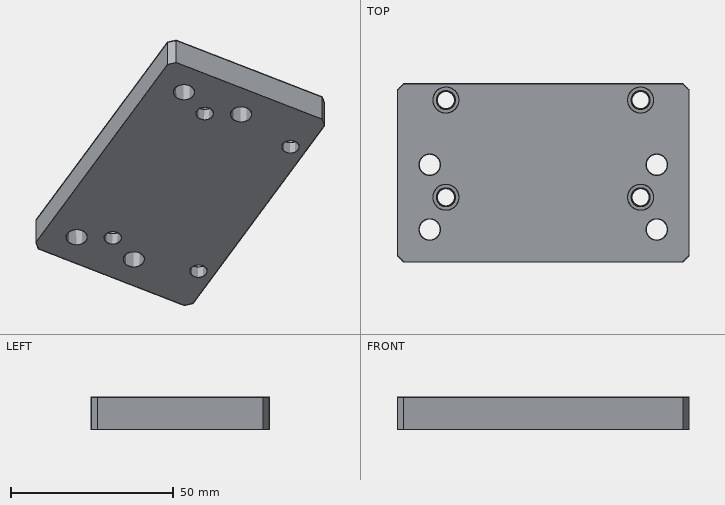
import cadquery as cq

length = 90.0
width = 55.0
thickness = 10.0
corner_chamfer = 2.0

screw_diameter = 5.3
counterbore_diameter = 8.0
counterbore_depth = 5.0
screw_edge_chamfer = 0.3
screw_spacing_x = 60.0
screw_spacing_y = 30.0
screw_center_y = 7.5

plain_diameter = 6.5
plain_spacing_x = 70.0
plain_spacing_y = 20.0
plain_center_y = -7.5


def on_top_face(plate, spacing_x, spacing_y, center_y):
    """Select the four hole centres of a rectangular pattern on the top face."""
    return (
        plate.faces(">Z")
        .workplane(origin=(0, center_y, thickness))
        .rarray(spacing_x, spacing_y, 2, 2)
    )


plate = (
    cq.Workplane("XY")
    .box(length, width, thickness, centered=(True, True, False))
    .edges("|Z")
    .chamfer(corner_chamfer)
)

plate = on_top_face(plate, screw_spacing_x, screw_spacing_y, screw_center_y).cboreHole(
    screw_diameter, counterbore_diameter, counterbore_depth
)

edge_breaker = cq.Solid.makeCone(
    screw_diameter / 2,
    screw_diameter / 2 + screw_edge_chamfer,
    screw_edge_chamfer,
    pnt=cq.Vector(0, 0, -counterbore_depth - screw_edge_chamfer),
)
edge_breakers = on_top_face(plate, screw_spacing_x, screw_spacing_y, screw_center_y).eachpoint(
    edge_breaker, combine=False
)
plate = plate.cut(edge_breakers)

result = on_top_face(plate, plain_spacing_x, plain_spacing_y, plain_center_y).hole(plain_diameter)